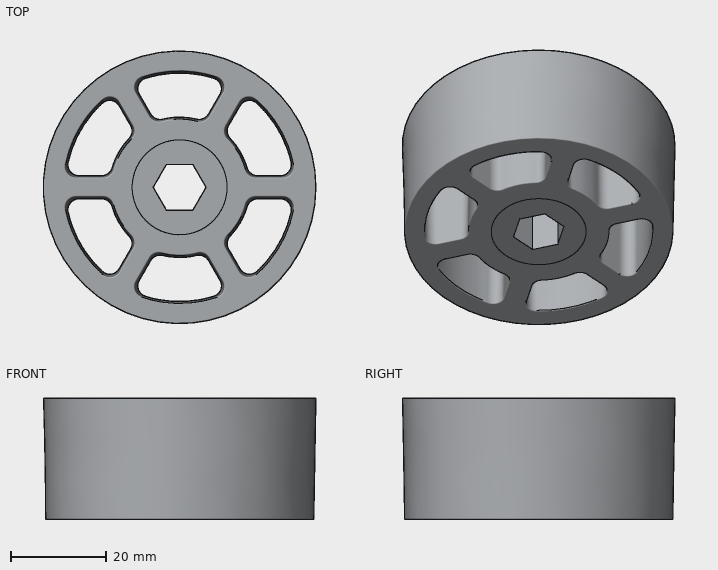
import cadquery as cq
import math

outer_diameter = 57.15
height = 25.4
draft_angle = 1.0
edge_radius = 0.2

hub_diameter = 19.9
hex_sides = 6
hex_across_flats = 9.55

window_count = 6
window_inner_radius = 14.3
window_outer_radius = 24.35
spoke_width = 4.0
window_corner_radius = 2.3

draft_inset = height * math.tan(math.radians(draft_angle))
window_pitch = 360.0 / window_count
hex_across_corners = hex_across_flats / math.cos(math.pi / hex_sides)


def window_outline(inset):
    """Outline of the window on +Y, moved inwards all round by inset."""
    inner_radius = window_inner_radius + inset
    outer_radius = window_outer_radius - inset
    flank_offset = spoke_width / 2 + inset

    def corner(radius, side):
        """Point where a circle meets the spoke flank on the -X (-1) or +X (+1) side."""
        half_angle = math.radians(window_pitch / 2) - math.asin(flank_offset / radius)
        return (side * radius * math.sin(half_angle), radius * math.cos(half_angle))

    return (
        cq.Sketch()
        .arc(corner(outer_radius, -1), (0, outer_radius), corner(outer_radius, 1))
        .segment(corner(inner_radius, 1))
        .arc(corner(inner_radius, 1), (0, inner_radius), corner(inner_radius, -1))
        .segment(corner(inner_radius, -1), corner(outer_radius, -1))
        .assemble()
        .vertices()
        .fillet(window_corner_radius)
    )


def make_window_cutter():
    """Rounded ring sector that narrows downwards from the top face."""
    bottom = window_outline(draft_inset)
    top = window_outline(0).moved(cq.Location(cq.Vector(0, 0, height)))
    return cq.Workplane("XY").placeSketch(bottom, top).loft(ruled=True)


def make_wheel():
    """Drafted disc with spoke windows, rounded edges and a bore for the hub."""
    outer_radius = outer_diameter / 2
    wheel = cq.Workplane(cq.Solid.makeCone(outer_radius - draft_inset, outer_radius, height))
    window = make_window_cutter()
    for index in range(window_count):
        wheel = wheel.cut(window.rotate((0, 0, 0), (0, 0, 1), index * window_pitch))
    wheel = wheel.faces("<Z or >Z").edges().fillet(edge_radius)
    bore = cq.Workplane("XY").circle(hub_diameter / 2).extrude(height)
    return wheel.cut(bore)


def make_hub():
    """Straight cylinder with a hexagonal shaft hole through it."""
    return (
        cq.Workplane("XY")
        .circle(hub_diameter / 2)
        .polygon(hex_sides, hex_across_corners)
        .extrude(height)
    )


wheel = make_wheel()
hub = make_hub()
result = cq.Compound.makeCompound([wheel.val(), hub.val()])